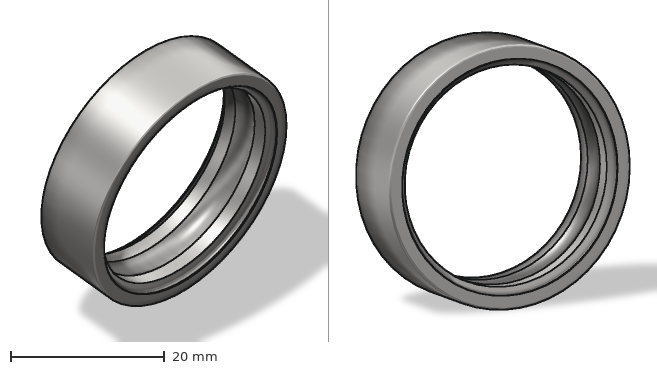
import math

import cadquery as cq

outer_radius = 17.5
width = 10.0
edge_fillet = 0.3

bore_radius = 14.63

mouth_radius = 15.6
land_length = 0.18
shoulder_depth = 1.22
shoulder_angle = 10.0

raceway_width = 3.6
raceway_depth = 0.77

half_width = width / 2


def make_blank():
    """Plain ring with both outer rims rounded."""
    disc = cq.Workplane("YZ").circle(outer_radius).extrude(width)
    disc = disc.translate((-half_width, 0, 0)).edges("%CIRCLE").fillet(edge_fillet)
    bore = cq.Workplane("YZ", origin=(-half_width, 0, 0)).circle(bore_radius).extrude(width)
    return disc.cut(bore)


def make_seal_groove():
    """Cutter for the seal groove at the -X end."""
    slope = math.radians(shoulder_angle)
    shoulder_rise = (mouth_radius - bore_radius) * math.tan(slope)
    shoulder_x = -half_width + shoulder_depth
    return (
        cq.Workplane("XY")
        .moveTo(-half_width, 0)
        .lineTo(shoulder_x, 0)
        .lineTo(shoulder_x, bore_radius)
        .lineTo(shoulder_x - shoulder_rise, mouth_radius)
        .tangentArcPoint((-half_width + land_length, mouth_radius), relative=False)
        .lineTo(-half_width, mouth_radius)
        .close()
        .revolve(360, (0, 0, 0), (1, 0, 0))
    )


def make_raceway():
    """Cutter for the ball track: a circular arc revolved around X at mid-width."""
    half_raceway = raceway_width / 2
    return (
        cq.Workplane("XY")
        .moveTo(-half_raceway, 0)
        .lineTo(-half_raceway, bore_radius)
        .threePointArc((0, bore_radius + raceway_depth), (half_raceway, bore_radius))
        .lineTo(half_raceway, 0)
        .close()
        .revolve(360, (0, 0, 0), (1, 0, 0))
    )


seal_groove = make_seal_groove()
result = make_blank().cut(make_raceway()).cut(seal_groove).cut(seal_groove.mirror("YZ"))